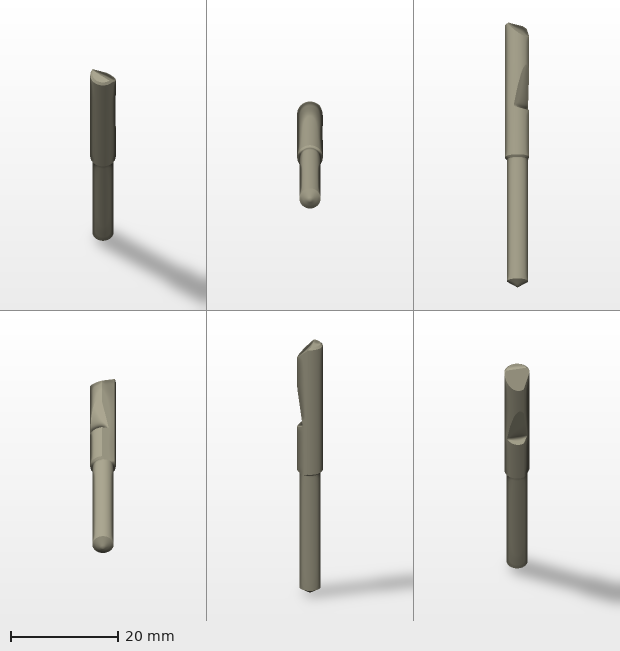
import cadquery as cq
import math

length = 50.8
head_radius = 2.4
shank_radius = 2.0
tip_height = 1.2
shoulder_z = 24.65
chamfer = 0.4

flat_direction = 144.0

bevel_start_y = -0.5
bevel_angle = 45.0

notch_top_z = 42.5
notch_bottom_z = 33.85
notch_root_y = 1.05
notch_root_z = 34.45
notch_root_radius = 0.4

clearance = 1.0
cutter_width = 2 * (head_radius + clearance)


def turned_pin():
    """Head, shank and conical tip revolved about Z."""
    return (
        cq.Workplane("XZ")
        .lineTo(shank_radius, tip_height)
        .lineTo(shank_radius, shoulder_z)
        .lineTo(head_radius, shoulder_z + chamfer)
        .lineTo(head_radius, length - chamfer)
        .lineTo(head_radius - chamfer, length)
        .lineTo(0, length)
        .close()
        .revolve(360, (0, 0, 0), (0, 1, 0))
    )


def side_flat_cutter():
    """Block whose inner face is the head's flat."""
    return (
        cq.Workplane("XY", origin=(0, 0, shoulder_z))
        .box(cutter_width, cutter_width, length - shoulder_z, centered=(False, True, False))
        .translate((shank_radius, 0, 0))
        .rotate((0, 0, 0), (0, 0, 1), flat_direction)
    )


def cross_cutter(outline):
    """Y-Z outline extruded through the full width of the head."""
    return cq.Workplane("YZ").polyline(outline).close().extrude(cutter_width / 2, both=True)


def bevel_cutter():
    outer_y = head_radius + clearance
    drop = (outer_y - bevel_start_y) * math.tan(math.radians(bevel_angle))
    return cross_cutter([(bevel_start_y, length), (outer_y, length), (outer_y, length - drop)])


def notch_cutter():
    """Long ramp ending at a short wall, with a rounded root."""
    outer_y = head_radius + clearance
    reach = clearance / (head_radius - notch_root_y)
    outer_top_z = notch_top_z + reach * (notch_top_z - notch_root_z)
    outer_bottom_z = notch_bottom_z + reach * (notch_bottom_z - notch_root_z)
    cutter = cross_cutter(
        [(notch_root_y, notch_root_z), (outer_y, outer_top_z), (outer_y, outer_bottom_z)]
    )
    return cutter.edges("<Y").fillet(notch_root_radius)


result = turned_pin().cut(side_flat_cutter()).cut(bevel_cutter()).cut(notch_cutter())